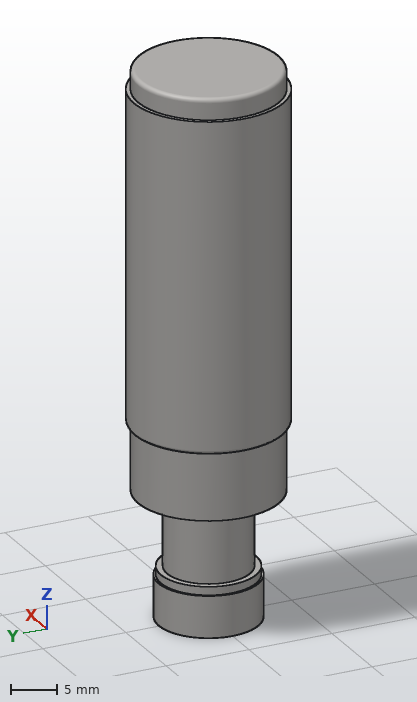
import cadquery as cq

total_height = 65.0

foot_diameter = 12.0
lip_diameter = 11.5
neck_diameter = 10.0
collar_diameter = 17.0
body_diameter = 18.0
cap_diameter = collar_diameter

foot_height = 5.0
lip_height = 1.0
neck_height = 9.0
collar_height = 8.0
cap_height = 2.5
body_height = total_height - foot_height - lip_height - neck_height - collar_height - cap_height

edge_radius = 0.5


def round_section(diameter, height, base_z):
    """Solid cylinder on the Z axis, standing on the height base_z."""
    return cq.Workplane("XY").workplane(offset=base_z).circle(diameter / 2).extrude(height)


def make_foot():
    """Foot disc with a slightly narrower lip and the slim neck above it."""
    foot = round_section(foot_diameter, foot_height, 0)
    lip = round_section(lip_diameter, lip_height, foot_height)
    neck = round_section(neck_diameter, neck_height, foot_height + lip_height)
    return foot.union(lip).union(neck)


def make_collar(base_z):
    """Plain cylinder between the neck and the body."""
    return round_section(collar_diameter, collar_height, base_z)


def make_body(base_z):
    """Main barrel, rounded along its lower edge."""
    return round_section(body_diameter, body_height, base_z).faces("<Z").edges().fillet(edge_radius)


def make_cap(base_z):
    """End cap, rounded along its upper edge."""
    return round_section(cap_diameter, cap_height, base_z).faces(">Z").edges().fillet(edge_radius)


collar_base = foot_height + lip_height + neck_height
body_base = collar_base + collar_height
cap_base = body_base + body_height

result = (
    make_foot()
    .union(make_collar(collar_base))
    .union(make_body(body_base))
    .union(make_cap(cap_base))
)